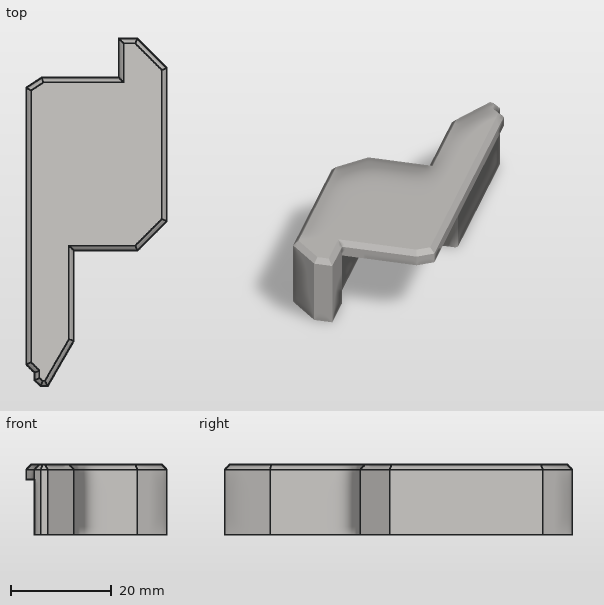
import cadquery as cq
import math

WIDTH = 27.96
LENGTH = 69.04
HEIGHT = 14.0

PLATE_THICKNESS = 3.0
TOP_BEVEL = 1.0
OVERHANG = 1.65
OVERHANG_START = 4.3
PLATE_CORNER_X = 3.1
PLATE_CORNER_Y = 2.05

NOTCH_X = 18.4
NOTCH_DEPTH = 7.75
RIGHT_CORNER = 5.85

ARM_RIGHT = 9.5
SHOULDER_Y = 26.9
TAPER_HEIGHT = 9.0
TAPER_ANGLE = 60.0
TIP_CORNER_X = 1.25
TIP_CORNER_Y = 1.15

RECESS_START = 34.65
RECESS_CORNER = 1.25
RECESS_LIP = 0.45

notch_y = LENGTH - NOTCH_DEPTH
tip_right = ARM_RIGHT - TAPER_HEIGHT / math.tan(math.radians(TAPER_ANGLE))
tip_left = OVERHANG + TIP_CORNER_X
recess_x = NOTCH_X + RECESS_CORNER
body_height = HEIGHT - PLATE_THICKNESS

shared_side = [
    (OVERHANG, TIP_CORNER_Y),
    (tip_left, 0),
    (tip_right, 0),
    (ARM_RIGHT, TAPER_HEIGHT),
    (ARM_RIGHT, SHOULDER_Y),
    (WIDTH - RIGHT_CORNER, SHOULDER_Y),
    (WIDTH, SHOULDER_Y + RIGHT_CORNER),
    (WIDTH, LENGTH - RIGHT_CORNER),
    (WIDTH - RIGHT_CORNER, LENGTH),
    (NOTCH_X, LENGTH),
    (NOTCH_X, notch_y),
]


def make_plate():
    """Top plate with its left overhang and a bevel around the whole upper rim."""
    left_side = [
        (PLATE_CORNER_X, notch_y),
        (0, notch_y - PLATE_CORNER_Y),
        (0, OVERHANG_START),
        (OVERHANG, OVERHANG_START - OVERHANG),
    ]
    plate = (
        cq.Workplane("XY")
        .workplane(offset=body_height)
        .polyline(shared_side + left_side)
        .close()
        .extrude(PLATE_THICKNESS)
    )
    return plate.faces(">Z").chamfer(TOP_BEVEL)


def make_body():
    """Body below the plate, recessed along the upper part of its left side."""
    left_side = [
        (recess_x, notch_y - RECESS_CORNER),
        (recess_x, RECESS_START + RECESS_CORNER),
        (recess_x - RECESS_CORNER, RECESS_START),
        (OVERHANG + RECESS_LIP, RECESS_START),
        (OVERHANG, RECESS_START - RECESS_LIP),
    ]
    return cq.Workplane("XY").polyline(shared_side + left_side).close().extrude(body_height)


result = make_body().union(make_plate()).clean()